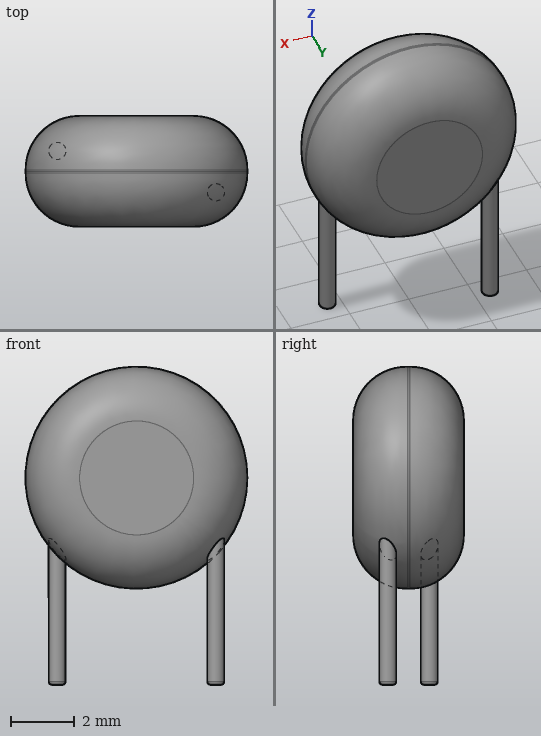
import cadquery as cq

total_height = 10.03
body_diameter = 7.0
body_thickness = 3.5

band_width = 0.09
rim_radius = (body_thickness - band_width) / 2

lead_diameter = 0.54
lead_spacing = 4.99
lead_offset = 0.65
lead_tip_radius = 0.12

lead_length = total_height - body_diameter / 2


def make_body():
    """Disc with fully rounded rims and flat circular faces."""
    disc = cq.Workplane("XZ").circle(body_diameter / 2).extrude(body_thickness / 2, both=True)
    return disc.edges("%CIRCLE").fillet(rim_radius)


def make_lead(x, y):
    """Straight wire running from inside the body down to a rounded tip."""
    wire = cq.Workplane("XY").center(x, y).circle(lead_diameter / 2).extrude(-lead_length)
    return wire.faces("<Z").edges().fillet(lead_tip_radius)


result = make_body()
for side in (-1, 1):
    result = result.union(make_lead(side * lead_spacing / 2, -side * lead_offset))